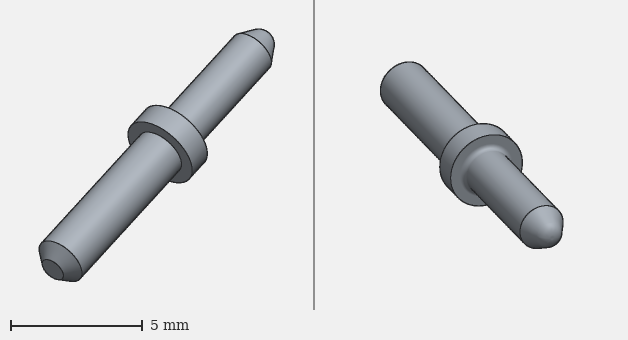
import cadquery as cq
import math

total_length = 14.0
flange_diameter = 3.0
flange_length = 1.0
rear_pin_diameter = 2.0
rear_pin_length = 7.0
rear_chamfer = 0.5
front_pin_diameter = 1.8
root_fillet = 0.2
nose_length = 1.0
nose_half_angle = 28.0
tip_round_radius = 0.5

flange_radius = flange_diameter / 2
rear_radius = rear_pin_diameter / 2
front_radius = front_pin_diameter / 2

flange_front = rear_pin_length + flange_length
nose_start = total_length - nose_length

cone_slope = math.radians(nose_half_angle)
cone_end = total_length - tip_round_radius * (1 - math.sin(cone_slope))
cone_end_radius = front_radius - (cone_end - nose_start) * math.tan(cone_slope)
tip_flat_radius = cone_end_radius - tip_round_radius * math.cos(cone_slope)

profile = (
    cq.Workplane("XY")
    .lineTo(rear_radius - rear_chamfer, 0)
    .lineTo(rear_radius, rear_chamfer)
    .lineTo(rear_radius, rear_pin_length)
    .lineTo(flange_radius, rear_pin_length)
    .lineTo(flange_radius, flange_front)
    .lineTo(front_radius + root_fillet, flange_front)
    .radiusArc((front_radius, flange_front + root_fillet), root_fillet)
    .lineTo(front_radius, nose_start)
    .lineTo(cone_end_radius, cone_end)
    .radiusArc((tip_flat_radius, total_length), -tip_round_radius)
    .lineTo(0, total_length)
    .close()
)

pin = profile.revolve(360, (0, 0, 0), (0, 1, 0))
result = pin.translate((0, -total_length / 2, 0))